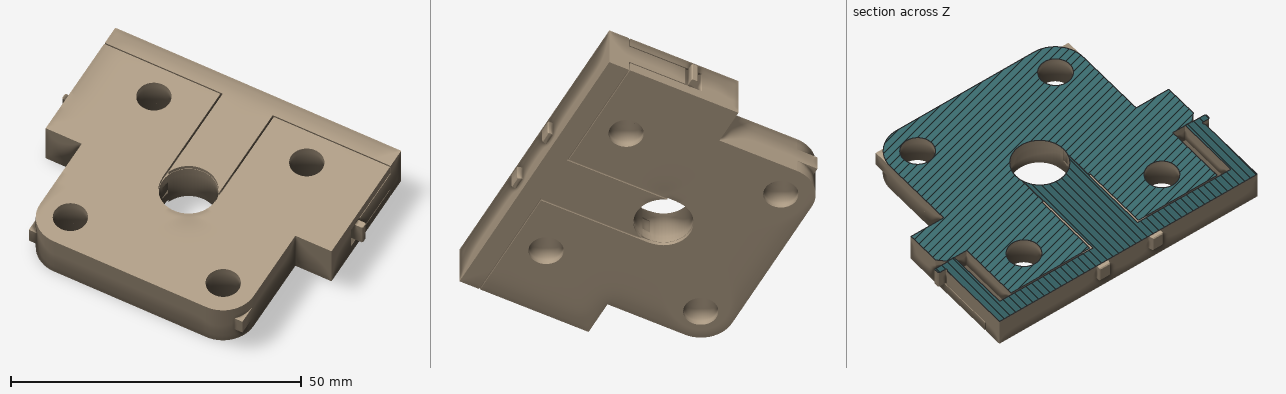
import cadquery as cq

THICKNESS = 8.4
WIDE_HALF = 28.05
NARROW_HALF = 20.95
HOUSING_BACK = 21.0
CORNER_RADIUS = 6.0
BORE_RADIUS = 5.15
RIM_RADIUS = 5.2
RIM_DEPTH = 0.7
SCREW_DIAMETER = 6.1
SCREW_OFFSET = 15.0
GAP = 0.25

SLIDER_BACK = 25.05
STEM_HALF = 4.9
CHANNEL_HALF = 5.25
ARM_HEIGHT = 4.1
ARM_WIDTH = 2.95
ARM_END = 8.5
BUTTON_LENGTH = 1.25
BUTTON_TIP = 29.5
BUTTON_CHAMFER = 0.2
NOTCH_LENGTH = 0.6
NOTCH_RAMP = 0.35
NOTCH_DEPTH = 0.2

POCKET_HEIGHT = ARM_HEIGHT + 2 * GAP
POCKET_INNER = 22.45
POCKET_RAMP = 1.5
POCKET_MOUTH_END = 7.0

INSERT_HEIGHT = 3.0
INSERT_FRONT = -19.0
INSERT_BACK = -INSERT_FRONT
INSERT_INNER_FRONT = 8.85
PRONG_START = 7.5
PRONG_OUTER = 6.9
PRONG_TIP = 26.0
HOOK_OVERHANG = 0.5
TIP_OVERHANG = 0.2
TIP_CHAMFER = 0.2

SIDES = (1, -1)


def prism(points, height):
    """Closed XY outline extruded evenly about mid thickness."""
    return cq.Workplane("XY").polyline(points).close().extrude(height / 2, both=True)


def block(x_range, y_range, height):
    """Rectangular block between two X and two Y values, centred in Z."""
    (x0, x1), (y0, y1) = x_range, y_range
    return prism([(x0, y0), (x1, y0), (x1, y1), (x0, y1)], height)


def disc(radius, height):
    """Cylinder on the Z axis, centred in Z."""
    return cq.Workplane("XY").circle(radius).extrude(height / 2, both=True)


def make_bore():
    """Through bore with a shallow counterbore at each face."""
    rims = disc(RIM_RADIUS, THICKNESS).cut(disc(RIM_RADIUS, THICKNESS - 2 * RIM_DEPTH))
    return rims.union(disc(BORE_RADIUS, THICKNESS))


def on_side(body, side):
    """The +X body itself, or its mirror image for the -X side."""
    return body if side > 0 else body.mirror("YZ")


def screw_holes():
    """Four through holes on a square about the bore."""
    spots = [(sx * SCREW_OFFSET, sy * SCREW_OFFSET) for sx in SIDES for sy in SIDES]
    return (
        cq.Workplane("XY").pushPoints(spots).circle(SCREW_DIAMETER / 2)
        .extrude(THICKNESS / 2, both=True)
    )


def make_insert():
    """Insert on the +X side, pierced by the screw holes."""
    outline = [
        (INSERT_INNER_FRONT, INSERT_FRONT),
        (NARROW_HALF, INSERT_FRONT),
        (NARROW_HALF, INSERT_BACK),
        (PRONG_OUTER, INSERT_BACK),
        (PRONG_OUTER, PRONG_TIP - TIP_CHAMFER),
        (PRONG_OUTER - TIP_CHAMFER, PRONG_TIP),
        (STEM_HALF - TIP_OVERHANG, PRONG_TIP),
        (STEM_HALF - HOOK_OVERHANG, SLIDER_BACK),
        (STEM_HALF, SLIDER_BACK),
        (STEM_HALF, PRONG_START),
        (CHANNEL_HALF, PRONG_START),
        (CHANNEL_HALF, 0),
    ]
    insert = prism(outline, INSERT_HEIGHT)
    insert = insert.faces(">Y").edges("|X").chamfer(TIP_CHAMFER)
    return insert.cut(screw_holes()).cut(make_bore())


def make_arm():
    """Latch arm on the +X side, with its button."""
    arm = block((WIDE_HALF - ARM_WIDTH, WIDE_HALF), (ARM_END, SLIDER_BACK), ARM_HEIGHT)
    button_back = ARM_END + BUTTON_LENGTH
    button = block((WIDE_HALF, BUTTON_TIP), (ARM_END, button_back), ARM_HEIGHT)
    button = button.edges("|Z and >X").chamfer(BUTTON_CHAMFER)
    notch_end = button_back + NOTCH_LENGTH
    notch_outline = [
        (WIDE_HALF, button_back),
        (WIDE_HALF, notch_end),
        (WIDE_HALF - NOTCH_DEPTH, notch_end - NOTCH_RAMP),
        (WIDE_HALF - NOTCH_DEPTH, button_back),
    ]
    notch = prism(notch_outline, ARM_HEIGHT)
    return arm.union(button).cut(notch)


def make_slider(inserts):
    """Back bar, stem and arms, with openings for the prongs."""
    bar = block((-WIDE_HALF, WIDE_HALF), (HOUSING_BACK + GAP, SLIDER_BACK), THICKNESS)
    stem = block((-STEM_HALF, STEM_HALF), (0, SLIDER_BACK), THICKNESS)
    slider = bar.union(stem.cut(make_bore()))
    for side in SIDES:
        slider = slider.union(on_side(make_arm(), side))
    for insert in inserts:
        slider = slider.cut(insert)
    return slider


def make_arm_pocket():
    """Flexing room for the +X arm; its end wall slopes at the mouth."""
    outline = [
        (POCKET_INNER, ARM_END),
        (WIDE_HALF - POCKET_RAMP, ARM_END),
        (WIDE_HALF, POCKET_MOUTH_END),
        (WIDE_HALF, HOUSING_BACK),
        (POCKET_INNER, HOUSING_BACK),
    ]
    return prism(outline, POCKET_HEIGHT)


def make_channel():
    """Channel for the stem; ledges close its side gaps between the bore and the prongs."""
    channel = block((-CHANNEL_HALF, CHANNEL_HALF), (0, HOUSING_BACK), THICKNESS)
    ledge = block((STEM_HALF, CHANNEL_HALF), (0, PRONG_START), THICKNESS - 2 * RIM_DEPTH)
    ledge = ledge.cut(block((STEM_HALF, CHANNEL_HALF), (0, PRONG_START), INSERT_HEIGHT))
    for side in SIDES:
        channel = channel.cut(on_side(ledge, side))
    return channel


def make_housing(inserts):
    """Plate with the bore, screw holes, slider channel and recesses for the inserts."""
    upper = block((-WIDE_HALF, WIDE_HALF), (0, HOUSING_BACK), THICKNESS)
    lower = block((-NARROW_HALF, NARROW_HALF), (-HOUSING_BACK, 0), THICKNESS)
    lower = lower.edges("|Z and <Y").fillet(CORNER_RADIUS)
    housing = upper.union(lower).cut(make_channel()).cut(make_bore()).cut(screw_holes())
    for side in SIDES:
        housing = housing.cut(on_side(make_arm_pocket(), side))
    for insert in inserts:
        housing = housing.cut(insert)
    return housing


inserts = [on_side(make_insert(), side) for side in SIDES]
slider = make_slider(inserts)
housing = make_housing(inserts)

result = cq.Compound.makeCompound([housing.val(), slider.val(), *[insert.val() for insert in inserts]])